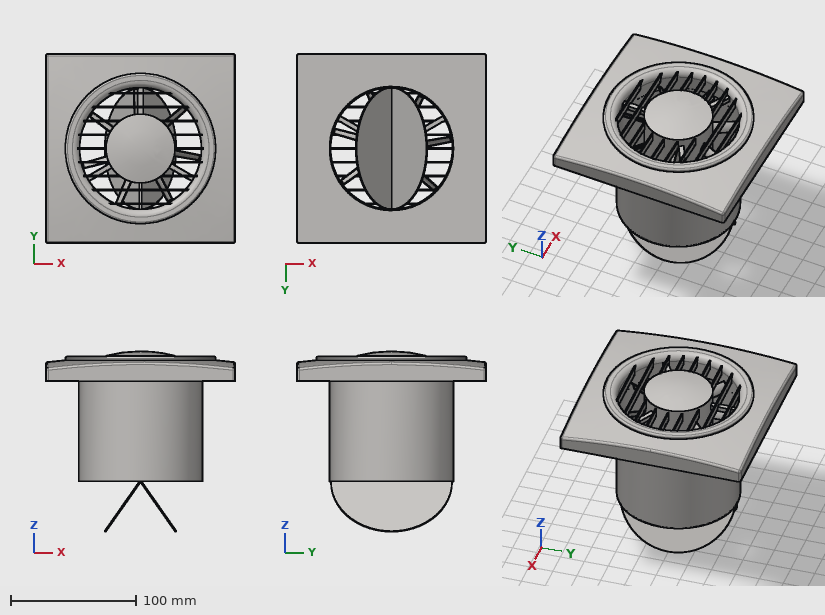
import cadquery as cq
import math


plate_side = 151.0
plate_crown_height = 19.6
plate_crown_radius = 620.0
plate_edge_radius = 1.9

ring_radius = 60.0
ring_top = 19.6
ring_edge_radius = 1.6
inlet_flare = 6.0

duct_radius = 49.5
duct_wall = 1.0
duct_length = 80.0
bore_radius = duct_radius - duct_wall

hub_radius = 27.5
hub_bottom = -30.0
root_depth = 1.0
cap_edge_height = 20.2
cap_top = 23.79

bar_count = 9
bar_pitch = 11.0
bar_thickness = 1.0
bar_height = 7.0
bar_recess = 1.8
bar_top = ring_top - bar_recess
bar_bottom = bar_top - bar_height

strut_count = 3
strut_first_angle = 90.0
strut_width = 4.1
strut_top = 13.0
strut_height = 4.0

blade_count = 7
blade_first_angle = -10.4
blade_thickness = 0.6
blade_top = 7.0
blade_height = 8.0
blade_bow = 1.0
blade_tip_clearance = 1.0
blade_root_radius = hub_radius - root_depth
blade_tip_radius = bore_radius - blade_tip_clearance
blade_root_edges = (3.4, -1.3)
blade_tip_edges = (3.0, -1.0)

flap_radius = 48.35
flap_thickness = 1.0
flap_tilt = 35.0
hinge_bar_height = 2.0
hinge_half_width = flap_thickness * math.cos(math.radians(flap_tilt))
hinge_edge_drop = flap_thickness * math.sin(math.radians(flap_tilt))

overlap = 0.4


def cylinder(radius, bottom, top):
    return cq.Workplane("XY").workplane(offset=bottom).circle(radius).extrude(top - bottom)


def make_plate():
    block = cq.Workplane("XY").rect(plate_side, plate_side).extrude(plate_crown_height)
    block = block.edges("|Z").fillet(plate_edge_radius)
    crown = cq.Workplane("XY").sphere(plate_crown_radius)
    crown = crown.translate((0, 0, plate_crown_height - plate_crown_radius))
    return block.intersect(crown).faces(">Z").edges().fillet(plate_edge_radius)


def make_ring():
    return cylinder(ring_radius, 0, ring_top).faces(">Z").edges().fillet(ring_edge_radius)


def make_duct():
    return cylinder(duct_radius, -duct_length, 0)


def make_inlet_bore():
    """Bore through plate and duct, with a quarter-round flare at the inlet."""
    flare_radius = bore_radius + inlet_flare
    flare_bottom = ring_top - inlet_flare
    diagonal = inlet_flare * math.sqrt(0.5)
    flare_middle = (flare_radius - diagonal, flare_bottom + diagonal)
    profile = (
        cq.Workplane("XZ")
        .moveTo(0, -duct_length)
        .lineTo(bore_radius, -duct_length)
        .lineTo(bore_radius, flare_bottom)
        .threePointArc(flare_middle, (flare_radius, ring_top))
        .lineTo(flare_radius, cap_top)
        .lineTo(0, cap_top)
        .close()
    )
    return profile.revolve(360, (0, 0, 0), (0, 1, 0))


def make_hub():
    cap_rise = cap_top - cap_edge_height
    cap_radius = (hub_radius**2 + cap_rise**2) / (2 * cap_rise)
    cap = cq.Workplane("XY").sphere(cap_radius).translate((0, 0, cap_top - cap_radius))
    return cylinder(hub_radius, hub_bottom, cap_top).intersect(cap)


def make_grille():
    """Parallel slats, trimmed where they run into the flare of the inlet."""
    bars = (
        cq.Workplane("XY")
        .workplane(offset=bar_bottom)
        .rarray(1, bar_pitch, 1, bar_count)
        .rect(2 * ring_radius, bar_thickness)
        .extrude(bar_height)
    )
    return bars.intersect(cylinder(bore_radius + inlet_flare / 2, bar_bottom, bar_top))


def make_strut(angle):
    inner = hub_radius - root_depth
    outer = bore_radius + overlap
    strut = cq.Workplane("XY").box(
        outer - inner, strut_width, strut_height, centered=(False, True, False)
    )
    strut = strut.translate((inner, 0, strut_top - strut_height))
    return strut.rotate((0, 0, 0), (0, 0, 1), angle)


def blade_section(workplane, edges):
    """Strip that falls from its upper edge to its lower edge, bulging up and clockwise."""
    upper, lower = edges
    chord = math.hypot(upper - lower, blade_height)
    bulge_across = -blade_height / chord
    bulge_up = (upper - lower) / chord

    def shifted(across, height, bulge):
        return (across + bulge * bulge_across, height + bulge * bulge_up)

    blade_bottom = blade_top - blade_height
    middle = ((upper + lower) / 2, (blade_top + blade_bottom) / 2)
    under_middle = shifted(*middle, blade_bow - blade_thickness)
    under_upper = shifted(upper, blade_top, -blade_thickness)
    return (
        workplane.moveTo(upper, blade_top)
        .threePointArc(shifted(*middle, blade_bow), (lower, blade_bottom))
        .lineTo(*shifted(lower, blade_bottom, -blade_thickness))
        .threePointArc(under_middle, under_upper)
        .close()
    )


def make_blade(angle):
    root = blade_section(cq.Workplane("YZ").workplane(offset=blade_root_radius), blade_root_edges)
    tip_plane = root.workplane(offset=blade_tip_radius - blade_root_radius)
    blade = blade_section(tip_plane, blade_tip_edges).loft(ruled=True)
    return blade.rotate((0, 0, 0), (0, 0, 1), angle)


def make_hinge_bar():
    """Bar across the duct outlet whose pointed underside fills the gap between the flaps."""
    half_length = bore_radius + overlap
    return (
        cq.Workplane("XZ", origin=(0, half_length, -duct_length))
        .moveTo(-hinge_half_width, hinge_bar_height)
        .lineTo(-hinge_half_width, 0)
        .lineTo(0, -hinge_edge_drop)
        .lineTo(hinge_half_width, 0)
        .lineTo(hinge_half_width, hinge_bar_height)
        .close()
        .extrude(2 * half_length)
    )


def make_flap():
    """Half disc hanging from the +X edge of the hinge bar."""
    flap = (
        cq.Workplane("YZ")
        .moveTo(-flap_radius, 0)
        .threePointArc((0, -flap_radius), (flap_radius, 0))
        .close()
        .extrude(-flap_thickness)
    )
    flap = flap.rotate((0, 0, 0), (0, 1, 0), -flap_tilt)
    return flap.translate((hinge_half_width, 0, -duct_length))


housing = make_plate().union(make_ring()).union(make_duct()).cut(make_inlet_bore())
result = housing.union(make_grille()).union(make_hub())

for index in range(strut_count):
    result = result.union(make_strut(strut_first_angle + index * 360 / strut_count))

for index in range(blade_count):
    result = result.union(make_blade(blade_first_angle + index * 360 / blade_count))

right_flap = make_flap()
left_flap = right_flap.mirror("YZ")
result = result.union(make_hinge_bar()).union(right_flap).union(left_flap)